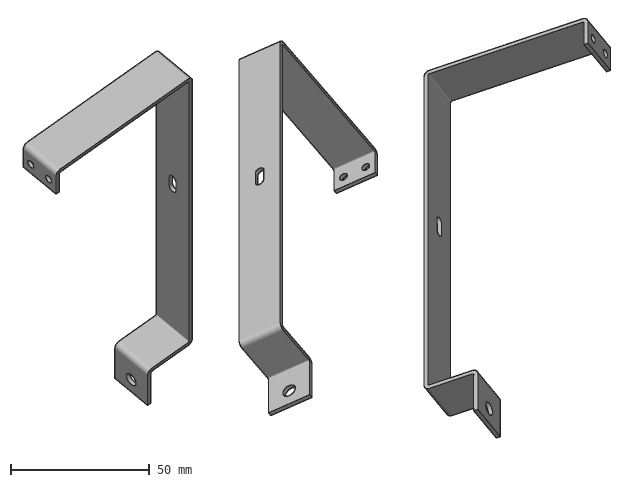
import cadquery as cq

width = 17.5
depth = 67.0
height = 166.5
thickness = 1.7
inner_radius = 0.7
outer_radius = inner_radius + thickness

top_flange_length = 12.3
shelf_top = 19.1
shelf_depth = 22.0

top_hole_diameter = 3.2
top_hole_spacing = 9.5
top_hole_drop = 7.3
slot_length = 8.3
slot_width = 3.5
slot_height = 99.9
foot_hole_diameter = 5.2
foot_hole_height = 6.8

wall_front = depth - thickness
foot_front = depth - shelf_depth
foot_back = foot_front + thickness
shelf_bottom = shelf_top - thickness
top_underside = height - thickness
flange_end = height - top_flange_length


def bent_strip():
    """Side outline of the strip, extruded across the width, with rounded bends."""
    outline = [
        (0, flange_end),
        (0, height),
        (depth, height),
        (depth, shelf_bottom),
        (foot_back, shelf_bottom),
        (foot_back, 0),
        (foot_front, 0),
        (foot_front, shelf_top),
        (wall_front, shelf_top),
        (wall_front, top_underside),
        (thickness, top_underside),
        (thickness, flange_end),
    ]
    strip = cq.Workplane("YZ").polyline(outline).close().extrude(width / 2, both=True)
    outer_bends = [(0, height), (depth, height), (depth, shelf_bottom), (foot_front, shelf_top)]
    inner_bends = [
        (thickness, top_underside),
        (wall_front, top_underside),
        (wall_front, shelf_top),
        (foot_back, shelf_bottom),
    ]
    strip = round_bends(strip, outer_bends, outer_radius)
    return round_bends(strip, inner_bends, inner_radius)


def round_bends(body, corners, radius):
    """Fillet the edges along X that pass through the given (y, z) corners."""
    for y, z in corners:
        body = body.edges("|X").edges(cq.NearestToPointSelector((0, y, z))).fillet(radius)
    return body


def sheet_plane(front_y, z):
    """Workplane on the front of a vertical leg, pointing into the sheet."""
    return cq.Workplane(cq.Plane(origin=(0, front_y, z), xDir=(1, 0, 0), normal=(0, 1, 0)))


top_holes = (
    sheet_plane(0, height - top_hole_drop)
    .pushPoints([(-top_hole_spacing / 2, 0), (top_hole_spacing / 2, 0)])
    .circle(top_hole_diameter / 2)
    .extrude(thickness)
)
wall_slot = sheet_plane(wall_front, slot_height).slot2D(slot_length, slot_width, 90).extrude(thickness)
foot_hole = sheet_plane(foot_front, foot_hole_height).circle(foot_hole_diameter / 2).extrude(thickness)

result = bent_strip().cut(top_holes).cut(wall_slot).cut(foot_hole)